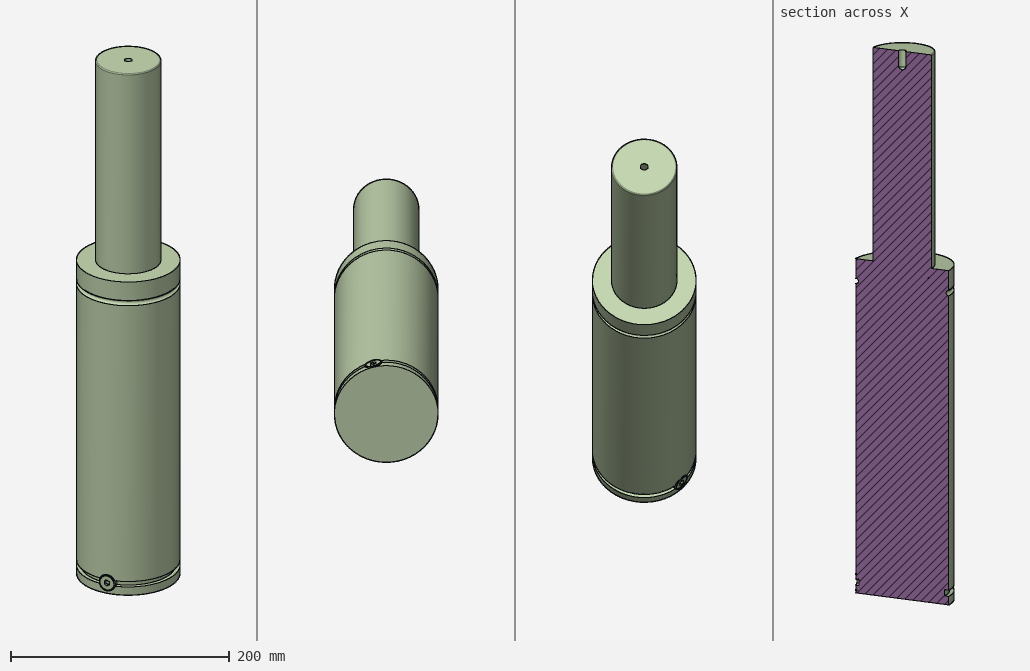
import cadquery as cq
import math

total_height = 520.0
body_diameter = 95.0
rod_diameter = 60.0
rod_length = 202.5
body_height = total_height - rod_length
body_radius = body_diameter / 2

rod_fillet = 1.0
rod_hole_diameter = 6.8
rod_hole_depth = 16.0
drill_point_angle = 118.0

lower_groove_bottom = 8.5
lower_groove_width = 5.5
lower_groove_depth = 4.0

upper_groove_height = 296.0
upper_groove_radius = 2.5

port_height = 10.5
plug_diameter = 16.0
plug_face_diameter = 14.0
plug_chamfer = (plug_diameter - plug_face_diameter) / 2
plug_length = 8.0
socket_across_flats = 5.0
socket_across_corners = socket_across_flats / math.cos(math.pi / 6)
socket_depth = 3.0


def make_body():
    return cq.Workplane("XY").circle(body_radius).extrude(body_height)


def make_rod():
    rod = cq.Workplane("XY").workplane(offset=body_height).circle(rod_diameter / 2).extrude(rod_length)
    return rod.faces(">Z").edges().fillet(rod_fillet)


def make_rod_hole():
    """Blind hole with a drill point, revolved about the rod axis."""
    radius = rod_hole_diameter / 2
    shoulder = total_height - rod_hole_depth
    tip = shoulder - radius / math.tan(math.radians(drill_point_angle / 2))
    profile = [(0, tip), (radius, shoulder), (radius, total_height), (0, total_height)]
    return cq.Workplane("XZ").polyline(profile).close().revolve(360, (0, 0, 0), (0, 1, 0))


def make_lower_groove():
    return (
        cq.Workplane("XY")
        .workplane(offset=lower_groove_bottom)
        .circle(body_radius)
        .circle(body_radius - lower_groove_depth)
        .extrude(lower_groove_width)
    )


def make_upper_groove():
    center = cq.Vector(0, 0, upper_groove_height)
    return cq.Workplane("XY").add(cq.Solid.makeTorus(body_radius, upper_groove_radius, center))


def port_plane():
    """Plane touching the -Y side of the body, facing inward; its local X is vertical."""
    return cq.Workplane(
        cq.Plane(origin=(0, -body_radius, port_height), xDir=(0, 0, 1), normal=(0, 1, 0))
    )


def make_port_pocket():
    return port_plane().circle(plug_diameter / 2).extrude(plug_length)


def make_plug():
    plug = make_port_pocket().faces("<Y").edges().chamfer(plug_chamfer)
    socket = port_plane().polygon(6, socket_across_corners).extrude(socket_depth)
    return plug.cut(socket)


result = (
    make_body()
    .union(make_rod())
    .cut(make_rod_hole())
    .cut(make_lower_groove())
    .cut(make_upper_groove())
    .cut(make_port_pocket())
    .union(make_plug())
)